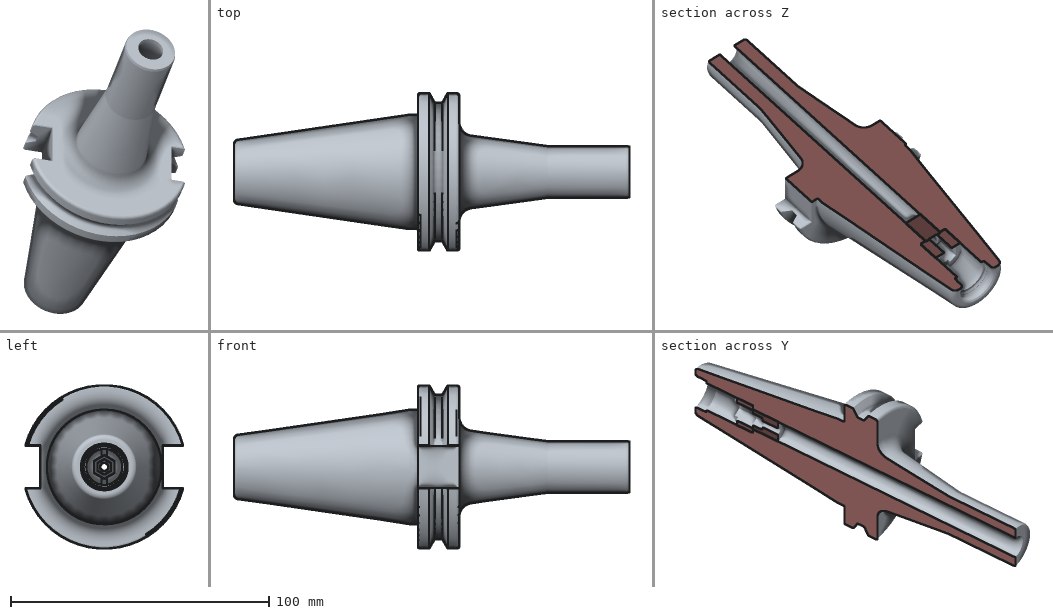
import cadquery as cq
import math

total_length = 153.2
gauge_x = 68.2
flange_front_x = 71.3
flange_width = 16.1
flange_back_x = flange_front_x + flange_width
nose_x = 121.5

gauge_radius = 44.5 / 2
taper_slope = 7 / 48
taper_end_radius = gauge_radius - gauge_x * taper_slope
taper_end_round = 2.0
flange_root_round = 0.3

flange_radius = 63.3 / 2
flange_front_round = 0.9
flange_back_round = 1.2
groove_x = 79.2
groove_floor_radius = 28.0
groove_floor_half_width = 1.5
groove_floor_round = 0.3
groove_wall_angle = 30.0
groove_top_half_width = groove_floor_half_width + (
    flange_radius - groove_floor_radius
) * math.tan(math.radians(groove_wall_angle))
slot_width = 16.2
slot_edge_chamfer = 0.3
slot_floor_left = 24.8
slot_floor_right = 22.7

neck_root_radius = 14.7
neck_root_round = 5.0
nose_radius = 20.0 / 2
nose_chamfer_length = 1.0
nose_chamfer_depth = 0.3

mouth_radius = 18.1 / 2
mouth_chamfer_length = 0.5
mouth_cone_radius = 16.7 / 2
mouth_cone_end_x = 1.4
counterbore_radius = 16.2 / 2
counterbore_end_x = 4.1
thread_relief_radius = 16.0 / 2
thread_relief_end_x = 5.4
plug_radius = 14.0 / 2
screw_radius = 10.0 / 2

plug_x = 18.4
plug_length = 9.2
plug_hex_size = 8.0
plug_slot_width = 2.3
plug_slot_depth = 1.5
screw_x = plug_x + plug_length
screw_length = 12.3
screw_hex_size = 5.2
screw_hex_depth = 4.6
coolant_hole_diameter = 3.0


def rounded_revolve(corners):
    """Revolve a closed outline of (x, radius, corner round) about the X axis."""
    outline = None
    for index, (x, r, fillet) in enumerate(corners):
        corner = cq.Vector(x, r)
        before = cq.Vector(*corners[index - 1][:2])
        after = cq.Vector(*corners[(index + 1) % len(corners)][:2])
        to_before = (before - corner).normalized()
        to_after = (after - corner).normalized()
        half_angle = to_before.getAngle(to_after) / 2
        setback = fillet / math.tan(half_angle)
        arc_start = corner + to_before * setback
        if outline is None:
            outline = cq.Workplane("XY").moveTo(arc_start.x, arc_start.y)
        else:
            outline = outline.lineTo(arc_start.x, arc_start.y)
        if fillet:
            arc_end = corner + to_after * setback
            outline = outline.tangentArcPoint((arc_end.x, arc_end.y), relative=False)
    return outline.close().revolve(360, (0, 0, 0), (1, 0, 0))


def cylinder(start_x, length, radius):
    return cq.Workplane("YZ", origin=(start_x, 0, 0)).circle(radius).extrude(length)


def hex_prism(start_x, length, across_flats):
    """Hexagon with two flats square to Y and two corners on the Z axis."""
    across_corners = across_flats / math.cos(math.radians(30))
    plane = cq.Plane(origin=(start_x, 0, 0), xDir=(0, 0, 1), normal=(1, 0, 0))
    return cq.Workplane(plane).polygon(6, across_corners).extrude(length)


def make_outer_body():
    return rounded_revolve([
        (0, 0, 0),
        (0, taper_end_radius, taper_end_round),
        (gauge_x, gauge_radius, 0),
        (flange_front_x, gauge_radius, flange_root_round),
        (flange_front_x, flange_radius, flange_front_round),
        (groove_x - groove_top_half_width, flange_radius, 0),
        (groove_x - groove_floor_half_width, groove_floor_radius, groove_floor_round),
        (groove_x + groove_floor_half_width, groove_floor_radius, groove_floor_round),
        (groove_x + groove_top_half_width, flange_radius, 0),
        (flange_back_x, flange_radius, flange_back_round),
        (flange_back_x, neck_root_radius, neck_root_round),
        (nose_x, nose_radius, 0),
        (total_length - nose_chamfer_length, nose_radius, 0),
        (total_length, nose_radius - nose_chamfer_depth, 0),
        (total_length, 0, 0),
    ])


def make_bore():
    return rounded_revolve([
        (0, 0, 0),
        (0, mouth_radius, 0),
        (mouth_chamfer_length, mouth_cone_radius, 0),
        (mouth_cone_end_x, counterbore_radius, 0),
        (counterbore_end_x, counterbore_radius, 0),
        (counterbore_end_x, thread_relief_radius, 0),
        (thread_relief_end_x, thread_relief_radius, 0),
        (thread_relief_end_x, plug_radius, 0),
        (screw_x, plug_radius, 0),
        (screw_x, screw_radius, 0),
        (total_length, screw_radius, 0),
        (total_length, 0, 0),
    ])


def drive_slot(side, floor_distance):
    """Block for one drive slot, from its floor out past the flange, on the given Y side."""
    depth = flange_radius - floor_distance
    return cq.Workplane("XY").box(flange_width, depth, slot_width).translate(
        (flange_front_x + flange_width / 2, side * (floor_distance + depth / 2), 0)
    )


def slot_wall_edges(holder):
    """Outer edges of the drive slot walls, leaving out the slot floors and the gripper groove."""
    floors = (slot_floor_left, -slot_floor_right)
    edges = []
    for wall in holder.faces("|Z").vals():
        for edge in wall.Edges():
            center = edge.Center()
            on_floor = min(abs(center.y - floor) for floor in floors) < slot_edge_chamfer
            in_groove = abs(center.x - groove_x) < groove_top_half_width
            if not on_floor and not in_groove:
                edges.append(edge)
    return edges


def make_holder():
    holder = make_outer_body().cut(make_bore())
    for side, floor_distance in ((1, slot_floor_left), (-1, slot_floor_right)):
        holder = holder.cut(drive_slot(side, floor_distance))
    return holder.newObject(slot_wall_edges(holder)).chamfer(slot_edge_chamfer)


def make_plug():
    slot = cq.Workplane("XY").box(2 * plug_slot_depth, plug_slot_width, 2 * plug_radius)
    plug = cylinder(plug_x, plug_length, plug_radius)
    plug = plug.cut(hex_prism(plug_x, plug_length, plug_hex_size))
    return plug.cut(slot.translate((plug_x, 0, 0)))


def make_set_screw():
    screw = cylinder(screw_x, screw_length, screw_radius)
    screw = screw.cut(hex_prism(screw_x, screw_hex_depth, screw_hex_size))
    return screw.cut(cylinder(screw_x, screw_length, coolant_hole_diameter / 2))


holder = make_holder()
plug = make_plug()
set_screw = make_set_screw()

result = cq.Compound.makeCompound([holder.val(), plug.val(), set_screw.val()])